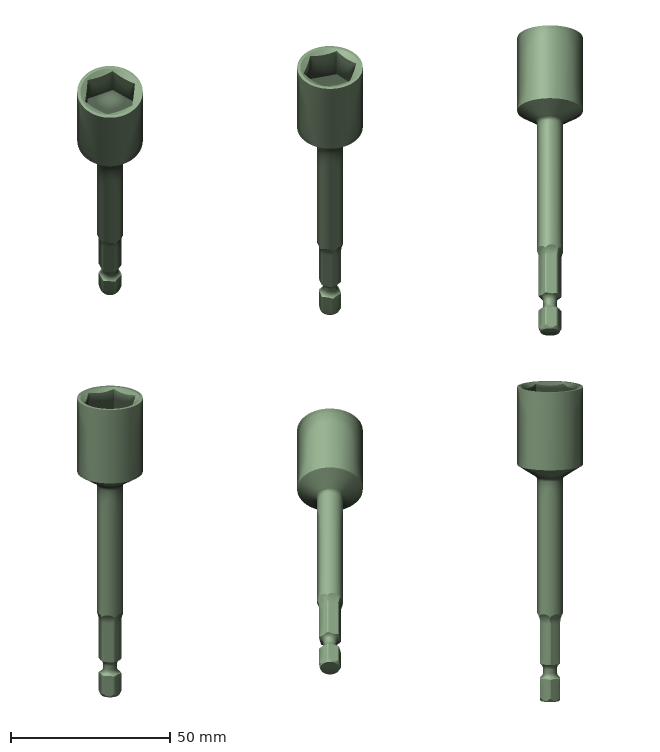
import cadquery as cq
import math

length = 100.0
socket_diameter = 20.6
shank_diameter = 8.2
socket_skirt_z = 75.2
shank_top_z = 71.2
neck_fillet = 1.0

socket_flats = 14.9
socket_depth = 10.0
mouth_diameter = 18.6
mouth_angle = 30.0

magnet_diameter = 12.0
magnet_thickness = 5.0

drive_flats = 6.35
drive_corner_diameter = 7.1
drive_top_z = 25.3
runout_radius = 4.7
end_diameter = 6.0
end_chamfer_height = 1.1

groove_diameter = 4.4
groove_middle_z = 9.6
groove_floor_width = 1.2
groove_side_width = 1.8

socket_radius = socket_diameter / 2
shank_radius = shank_diameter / 2
drive_apothem = drive_flats / 2
drive_radius = drive_corner_diameter / 2
floor_z = length - socket_depth


def make_blank():
    """Turned body: chamfered drive end, shank, cone and socket cylinder."""
    profile = (
        cq.Workplane("XZ")
        .moveTo(0, 0)
        .lineTo(end_diameter / 2, 0)
        .lineTo(drive_radius, end_chamfer_height)
        .lineTo(drive_radius, drive_top_z)
        .lineTo(shank_radius, drive_top_z)
        .lineTo(shank_radius, shank_top_z)
        .lineTo(socket_radius, socket_skirt_z)
        .lineTo(socket_radius, length)
        .lineTo(0, length)
        .close()
    )
    blank = profile.revolve(360, (0, 0, 0), (0, 1, 0))
    neck_edge = cq.selectors.BoxSelector(
        (-shank_diameter, -shank_diameter, shank_top_z - 0.1),
        (shank_diameter, shank_diameter, shank_top_z + 0.1),
    )
    return blank.edges(neck_edge).edges("%CIRCLE").fillet(neck_fillet)


def make_flat_cutter():
    """Cutter for the flat on the +Y side, with a curved run-out into the shank."""
    clearance = 1.0
    outer_y = shank_radius + clearance
    runout_depth = outer_y - drive_apothem
    runout_height = math.sqrt(runout_radius**2 - (runout_radius - runout_depth) ** 2)
    half_angle = math.acos(1 - runout_depth / runout_radius) / 2
    middle_y = drive_apothem + runout_radius * (1 - math.cos(half_angle))
    middle_z = drive_top_z + runout_radius * math.sin(half_angle)
    return (
        cq.Workplane("YZ")
        .moveTo(drive_apothem, -clearance)
        .lineTo(drive_apothem, drive_top_z)
        .threePointArc((middle_y, middle_z), (outer_y, drive_top_z + runout_height))
        .lineTo(outer_y, -clearance)
        .close()
        .extrude(shank_radius, both=True)
    )


def make_groove_cutter():
    """Ring with a straight floor and curved sides tangent to that floor."""
    floor_radius = groove_diameter / 2
    half_floor = groove_floor_width / 2
    half_width = half_floor + groove_side_width
    side_rise = drive_radius - floor_radius
    side_radius = (groove_side_width**2 + side_rise**2) / (2 * side_rise)
    half_angle = math.asin(groove_side_width / side_radius) / 2
    middle_radius = floor_radius + side_radius * (1 - math.cos(half_angle))
    middle_offset = half_floor + side_radius * math.sin(half_angle)
    lower_z = groove_middle_z - half_width
    upper_z = groove_middle_z + half_width
    return (
        cq.Workplane("XZ")
        .moveTo(drive_radius, lower_z)
        .lineTo(drive_radius, upper_z)
        .threePointArc(
            (middle_radius, groove_middle_z + middle_offset),
            (floor_radius, groove_middle_z + half_floor),
        )
        .lineTo(floor_radius, groove_middle_z - half_floor)
        .threePointArc((middle_radius, groove_middle_z - middle_offset), (drive_radius, lower_z))
        .close()
        .revolve(360, (0, 0, 0), (0, 1, 0))
    )


def make_socket_cutter():
    """Hexagonal opening joined with its conical lead-in."""
    corner_diameter = socket_flats / math.cos(math.radians(30))
    mouth_radius = mouth_diameter / 2
    cone_depth = mouth_radius * math.tan(math.radians(mouth_angle))
    hexagon = (
        cq.Workplane("XY", origin=(0, 0, floor_z))
        .transformed(rotate=(0, 0, 90))
        .polygon(6, corner_diameter)
        .extrude(socket_depth)
    )
    lead_in = cq.Workplane(cq.Solid.makeCone(0, mouth_radius, cone_depth)).translate(
        (0, 0, length - cone_depth)
    )
    return hexagon.union(lead_in)


def make_magnet():
    return (
        cq.Workplane("XY", origin=(0, 0, floor_z))
        .circle(magnet_diameter / 2)
        .extrude(-magnet_thickness)
    )


def make_driver(magnet):
    """Socket, shank and drive in one piece, with a pocket for the magnet."""
    driver = make_blank()
    flat_cutter = make_flat_cutter()
    for side in range(6):
        driver = driver.cut(flat_cutter.rotate((0, 0, 0), (0, 0, 1), side * 60))
    return driver.cut(make_groove_cutter()).cut(make_socket_cutter()).cut(magnet)


magnet = make_magnet()
driver = make_driver(magnet)

result = cq.Compound.makeCompound([driver.val(), magnet.val()])